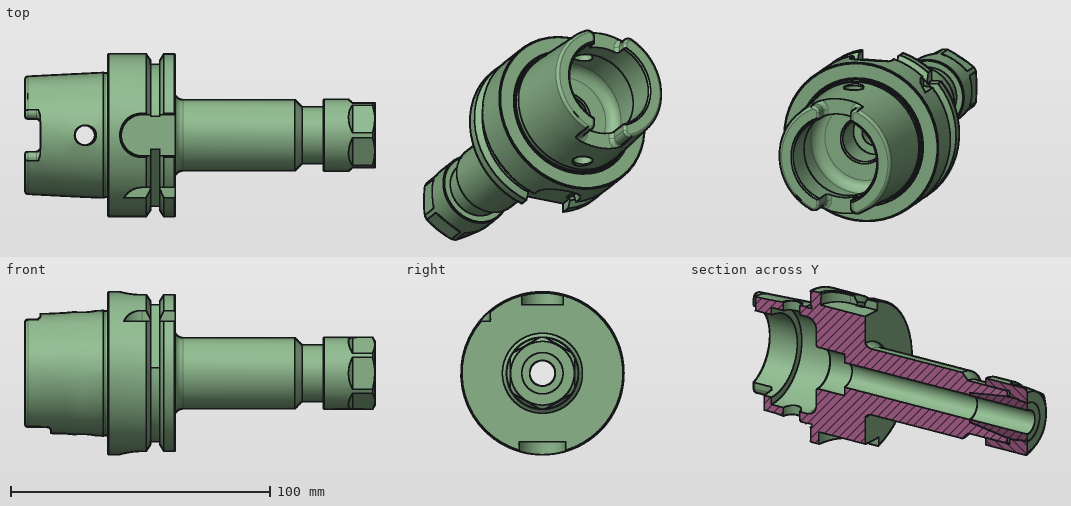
import cadquery as cq
import math


overall_length = 135.1

taper_length = 32.0
taper_root_x = -1.9
taper_root_radius = 48.5 / 2
taper_slope = 0.05
rim_fillet = 1.1
neck_radius = 24.0
neck_start_x = -1.2
relief_depth = 0.5
relief_floor_radius = 24.7
relief_outer_radius = 25.4

mouth_radius = 17.0
mouth_chamfer = 0.7
shoulder_x = -18.4
cavity_radius = 20.0
cavity_floor_x = 2.7
cavity_floor_fillet = 4.3
pocket_radius = 8.5
pocket_depth = 13.5
pocket_chamfer = 0.7
passage_radius = 5.0

drive_slot_width = 12.5
drive_slot_flare = 2.4
drive_slot_floor_fillet = 1.6
upper_slot_depth = 6.0
lower_slot_depth = 10.0
radial_hole_x = -8.9
radial_hole_diameter = 7.5
radial_hole_chamfer = 0.4

flange_radius = 31.5
flange_length = 26.1
flange_chamfer = 0.4
groove_radius = 55.0 / 2
groove_side_radius = 28.9
groove_start_x = 14.7
groove_floor_start_x = 16.5
groove_floor_end_x = 20.0
groove_end_x = 21.6
groove_flat_distance = 21.8
groove_flat_angle = 42

cutter_center_x = 13.1
keyway_floor = 26.5
upper_keyway_width = 16.0
lower_keyway_width = 18.0
keyway_edge_chamfer = 0.5
corner_notch_offset = 20.1
corner_notch_radius = 8.0

shank_radius = 13.8
shank_fillet = 3.2
shank_fillet_end_x = 28.9
shank_end_x = 72.2
nose_radius = 22.0 / 2
nose_cone_end_x = shank_end_x + shank_radius - nose_radius

nut_start_x = 83.1
end_x = overall_length - taper_length
nut_radius = 13.9
nut_rear_chamfer = 0.4
nut_face_radius = 12.3
nut_front_chamfer = 1.0
hex_width = 25.0
flat_ramp_start_x = 92.8
flat_start_x = 94.5
nut_bore_end_x = 94.6

collet_length = 27.4
collet_rear_radius = 12.0 / 2
collet_radius = 8.5
collet_lip_radius = 8.0
collet_bore_radius = 4.9
collet_half_angle = 8
collet_seat_angle = 30
collet_lip_length = 4.0
collet_rear_x = end_x - collet_length
collet_taper_end_x = collet_rear_x + (collet_radius - collet_rear_radius) / math.tan(
    math.radians(collet_half_angle)
)
lip_start_x = end_x - collet_lip_length
seat_start_x = lip_start_x - (collet_radius - collet_lip_radius) / math.tan(math.radians(collet_seat_angle))

selection_margin = 0.07
hex_sides = 6


def turned(outline):
    """Solid of revolution about X from a closed (x, radius) outline."""
    return outline.close().revolve(360, (0, 0, 0), (1, 0, 0))


def turned_points(points):
    return turned(cq.Workplane("XY").polyline(points))


def taper_radius(x):
    return taper_root_radius - taper_slope * (taper_root_x - x)


def holder_blank():
    fillet_center_radius = shank_radius + shank_fillet
    fillet_start_rise = math.sqrt(shank_fillet**2 - (shank_fillet_end_x - flange_length) ** 2)
    fillet_middle = shank_fillet * math.sqrt(0.5)
    rim_fillet_x = -taper_length + rim_fillet
    rim_fillet_radius = taper_radius(-taper_length) - rim_fillet
    rim_fillet_middle = rim_fillet * math.sqrt(0.5)
    return turned(
        cq.Workplane("XY")
        .moveTo(-taper_length, 0)
        .lineTo(-taper_length, taper_radius(-taper_length) - rim_fillet)
        .threePointArc(
            (rim_fillet_x - rim_fillet_middle, rim_fillet_radius + rim_fillet_middle),
            (rim_fillet_x, taper_radius(rim_fillet_x)),
        )
        .lineTo(taper_root_x, taper_root_radius)
        .lineTo(neck_start_x, neck_radius)
        .lineTo(relief_depth, neck_radius)
        .lineTo(relief_depth, relief_floor_radius)
        .lineTo(0, relief_outer_radius)
        .lineTo(0, flange_radius - flange_chamfer)
        .lineTo(flange_chamfer, flange_radius)
        .lineTo(groove_start_x, flange_radius)
        .lineTo(groove_floor_start_x, groove_side_radius)
        .lineTo(groove_floor_start_x, groove_radius)
        .lineTo(groove_floor_end_x, groove_radius)
        .lineTo(groove_floor_end_x, groove_side_radius)
        .lineTo(groove_end_x, flange_radius)
        .lineTo(flange_length - flange_chamfer, flange_radius)
        .lineTo(flange_length, flange_radius - flange_chamfer)
        .lineTo(flange_length, fillet_center_radius - fillet_start_rise)
        .threePointArc(
            (shank_fillet_end_x - fillet_middle, fillet_center_radius - fillet_middle),
            (shank_fillet_end_x, shank_radius),
        )
        .lineTo(shank_end_x, shank_radius)
        .lineTo(nose_cone_end_x, nose_radius)
        .lineTo(collet_taper_end_x, nose_radius)
        .lineTo(collet_taper_end_x, 0)
    )


def turned_to_bottom(cutter):
    """Move a cutter made for +Z to the -Z side."""
    return cutter.rotate((0, 0, 0), (1, 0, 0), 180)


def drive_slot(depth):
    """Cutter for the slot at +Z: straight walls that round off into the taper surface."""
    half_width = drive_slot_width / 2
    rim_radius = taper_radius(-taper_length)
    clear_radius = flange_radius
    flare_y = half_width + drive_slot_flare
    flare_z = math.sqrt((rim_radius - drive_slot_flare) ** 2 - flare_y**2)
    direction = math.atan2(flare_z, flare_y)
    middle_angle = (math.pi + direction) / 2
    middle_y = flare_y + drive_slot_flare * math.cos(middle_angle)
    middle_z = flare_z + drive_slot_flare * math.sin(middle_angle)
    end_y = rim_radius * math.cos(direction)
    end_z = rim_radius * math.sin(direction)
    clear_y = clear_radius * math.cos(direction)
    clear_z = clear_radius * math.sin(direction)
    slot = (
        cq.Workplane("YZ")
        .workplane(offset=-taper_length)
        .moveTo(-half_width, 0)
        .lineTo(-half_width, flare_z)
        .threePointArc((-middle_y, middle_z), (-end_y, end_z))
        .lineTo(-clear_y, clear_z)
        .lineTo(clear_y, clear_z)
        .lineTo(end_y, end_z)
        .threePointArc((middle_y, middle_z), (half_width, flare_z))
        .lineTo(half_width, 0)
        .close()
        .extrude(depth)
    )
    slot = slot.faces(">X").edges("|Z").fillet(drive_slot_floor_fillet)
    region = (
        cq.Workplane("XY")
        .box(depth, 2 * clear_radius, clear_z, centered=(False, True, False))
        .translate((-taper_length, 0, 0))
    )
    block = region.cut(slot)
    mouth_walls = cq.selectors.BoxSelector(
        (-taper_length - selection_margin, -half_width - selection_margin, 0),
        (-taper_length + selection_margin, half_width + selection_margin, clear_z),
    )
    block = block.edges("|Z").edges(mouth_walls).fillet(rim_fillet)
    return region.cut(block)


def hollow():
    """Cutter for the clamping cavity and the blind pocket in its floor."""
    fillet_center_x = cavity_floor_x - cavity_floor_fillet
    fillet_center_radius = cavity_radius - cavity_floor_fillet
    fillet_middle = cavity_floor_fillet * math.sqrt(0.5)
    pocket_end_x = cavity_floor_x + pocket_depth
    return turned(
        cq.Workplane("XY")
        .moveTo(-taper_length, 0)
        .lineTo(-taper_length, mouth_radius + mouth_chamfer)
        .lineTo(-taper_length + mouth_chamfer, mouth_radius)
        .lineTo(shoulder_x, mouth_radius)
        .lineTo(shoulder_x, cavity_radius)
        .lineTo(fillet_center_x, cavity_radius)
        .threePointArc(
            (fillet_center_x + fillet_middle, fillet_center_radius + fillet_middle),
            (cavity_floor_x, fillet_center_radius),
        )
        .lineTo(cavity_floor_x, pocket_radius + pocket_chamfer)
        .lineTo(cavity_floor_x + pocket_chamfer, pocket_radius)
        .lineTo(pocket_end_x, pocket_radius)
        .lineTo(pocket_end_x, 0)
    )


def collet_socket():
    """Cutter for the tapered seat of the collet and the passage behind it."""
    return turned_points(
        [
            (cavity_floor_x, 0),
            (cavity_floor_x, passage_radius),
            (collet_rear_x, passage_radius),
            (collet_rear_x, collet_rear_radius),
            (collet_taper_end_x, collet_radius),
            (collet_taper_end_x, 0),
        ]
    )


def radial_hole():
    """Cutter for the hole along Z through both walls, with a chamfer at each outer end."""
    radius = radial_hole_diameter / 2
    rim_z = taper_radius(radial_hole_x)
    cutter = cq.Workplane("XY").center(radial_hole_x, 0).circle(radius).extrude(rim_z, both=True)
    cone_height = 2 * radial_hole_chamfer
    for side in (1, -1):
        countersink = cq.Solid.makeCone(
            radius,
            radius + cone_height,
            cone_height,
            cq.Vector(radial_hole_x, 0, side * (rim_z - radial_hole_chamfer)),
            cq.Vector(0, 0, side),
        )
        cutter = cutter.union(cq.Workplane(countersink))
    return cutter


def keyway(width):
    """Cutter for a round-ended keyway at +Z that leaves through the flange's rear face."""
    half_width = width / 2
    return (
        cq.Workplane("XY")
        .workplane(offset=keyway_floor)
        .moveTo(flange_length, -half_width)
        .lineTo(cutter_center_x, -half_width)
        .threePointArc((cutter_center_x - half_width, 0), (cutter_center_x, half_width))
        .lineTo(flange_length, half_width)
        .close()
        .extrude(flange_radius - keyway_floor)
    )


def chamfer_keyway_rim(body, width):
    """Break the edges where the +Z keyway's walls leave through the flange's outer cylinder."""
    half_width = width / 2
    straight_edge_z = math.sqrt(flange_radius**2 - half_width**2)
    rim = cq.selectors.BoxSelector(
        (0, -half_width - selection_margin, straight_edge_z - selection_margin),
        (flange_length, half_width + selection_margin, flange_radius + selection_margin),
    )
    return body.edges(rim).chamfer(keyway_edge_chamfer)


def corner_notch():
    """Cutter for the L-shaped step at -Y +Z, milled by a round cutter along Z."""
    wall_y = -corner_notch_offset
    reach = 2 * corner_notch_radius
    return (
        cq.Workplane("XY")
        .workplane(offset=corner_notch_offset)
        .moveTo(flange_length, wall_y)
        .lineTo(cutter_center_x, wall_y)
        .threePointArc(
            (cutter_center_x - corner_notch_radius, wall_y - corner_notch_radius),
            (cutter_center_x, wall_y - reach),
        )
        .lineTo(flange_length, wall_y - reach)
        .close()
        .extrude(flange_radius - corner_notch_offset)
    )


def groove_flat():
    """Cutter for the flat milled into the floor of the flange groove."""
    width = groove_floor_end_x - groove_floor_start_x
    depth = groove_side_radius - groove_flat_distance
    return (
        cq.Workplane("XY")
        .box(width, depth, 2 * flange_radius, centered=(False, False, True))
        .translate((groove_floor_start_x, -groove_side_radius, 0))
        .rotate((0, 0, 0), (1, 0, 0), -groove_flat_angle)
    )


def build_holder():
    body = holder_blank().cut(keyway(upper_keyway_width))
    body = chamfer_keyway_rim(body, upper_keyway_width)
    cutters = [
        drive_slot(upper_slot_depth),
        turned_to_bottom(drive_slot(lower_slot_depth)),
        hollow(),
        collet_socket(),
        radial_hole(),
        turned_to_bottom(keyway(lower_keyway_width)),
        corner_notch(),
        groove_flat(),
    ]
    for cutter in cutters:
        body = body.cut(cutter)
    return body


def hex_flat():
    """Cutter for the nut flat facing +Y, with a ramp at its rear end."""
    flat_y = hex_width / 2
    return (
        cq.Workplane("XY")
        .moveTo(end_x, flat_y)
        .lineTo(flat_start_x, flat_y)
        .lineTo(flat_ramp_start_x, nut_radius)
        .lineTo(end_x, nut_radius)
        .close()
        .extrude(nut_radius, both=True)
    )


def build_nut():
    nut = turned_points(
        [
            (nut_start_x, nose_radius),
            (nut_start_x, nut_radius - nut_rear_chamfer),
            (nut_start_x + nut_rear_chamfer, nut_radius),
            (end_x - nut_front_chamfer, nut_radius),
            (end_x, nut_face_radius),
            (end_x, collet_lip_radius),
            (lip_start_x, collet_lip_radius),
            (seat_start_x, collet_radius),
            (nut_bore_end_x, collet_radius),
            (nut_bore_end_x, nose_radius),
        ]
    )
    for side in range(hex_sides):
        nut = nut.cut(hex_flat().rotate((0, 0, 0), (1, 0, 0), 360 / hex_sides * side))
    return nut


def build_collet():
    return turned_points(
        [
            (collet_rear_x, collet_bore_radius),
            (collet_rear_x, collet_rear_radius),
            (collet_taper_end_x, collet_radius),
            (seat_start_x, collet_radius),
            (lip_start_x, collet_lip_radius),
            (end_x, collet_lip_radius),
            (end_x, collet_bore_radius),
        ]
    )


holder = build_holder()
nut = build_nut()
collet = build_collet()
result = cq.Compound.makeCompound([holder.solids().val(), nut.solids().val(), collet.solids().val()])